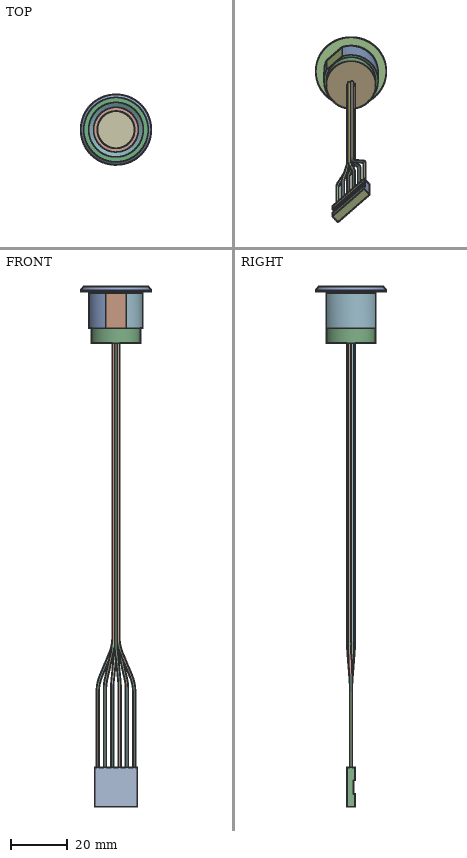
import cadquery as cq
import math

total_height = 184.0

bezel_diameter = 25.0
bezel_top_diameter = 22.8
bezel_chamfer_height = 1.3
flange_bottom = 1.8
neck_bottom = 2.4
dish_top_diameter = 19.3
dish_floor_diameter = 15.8
dish_depth = 1.0

cap_diameter = 13.0
cap_recess_diameter = 13.2
cap_thickness = 1.0

barrel_diameter = 19.1
barrel_flats_width = 17.7
barrel_bottom = 14.7
tail_diameter = 17.5
housing_bottom = 20.0

wire_diameter = 1.0
wire_pitch = 2.5
bundle_radius = 1.01
core_diameter = 1.1
core_bottom = 123.3
fan_top = 127.1
fan_bottom = 140.4
bend_radius = 13.8
bundle_angles = [150, 210, 90, 270, 30, 330]

connector_width = 15.0
connector_thickness = 3.0
connector_height = 14.0
groove_height = 4.8
groove_depth = 0.5
groove_center_height = 7.0
connector_top = total_height - connector_height


def disc(diameter, top, bottom):
    """Cylinder on the Z axis between two depths."""
    return cq.Workplane("XY").workplane(offset=-bottom).circle(diameter / 2).extrude(bottom - top)


def cone(top_diameter, bottom_diameter, height):
    """Truncated cone on the Z axis, from depth 0 down to the given height."""
    return (
        cq.Workplane("XY")
        .circle(top_diameter / 2)
        .workplane(offset=-height)
        .circle(bottom_diameter / 2)
        .loft(ruled=True)
    )


def flatted_disc(top, bottom):
    """Slice of the barrel outline: a cylinder cut by two flats parallel to XZ."""
    height = bottom - top
    slab = cq.Workplane("XY").box(barrel_diameter, barrel_flats_width, height)
    slab = slab.translate((0, 0, -(top + bottom) / 2))
    return disc(barrel_diameter, top, bottom).intersect(slab)


def make_bezel():
    chamfered_edge = cone(bezel_top_diameter, bezel_diameter, bezel_chamfer_height)
    rim = disc(bezel_diameter, bezel_chamfer_height, flange_bottom)
    neck = flatted_disc(flange_bottom, neck_bottom)
    dish = cone(dish_top_diameter, dish_floor_diameter, dish_depth)
    cap_recess = disc(cap_recess_diameter, dish_depth, dish_depth + cap_thickness)
    return chamfered_edge.union(rim).union(neck).cut(dish).cut(cap_recess)


def make_cap():
    return disc(cap_diameter, dish_depth, dish_depth + cap_thickness)


def make_housing():
    barrel = flatted_disc(neck_bottom, barrel_bottom)
    tail = disc(tail_diameter, barrel_bottom, housing_bottom)
    return barrel.union(tail)


def wire_path(start_x, start_y, end_x):
    """Centreline from the housing to the connector: straight, bend, slope, bend back, straight."""
    upper_corner = cq.Vector(start_x, start_y, -fan_top)
    lower_corner = cq.Vector(end_x, 0, -fan_bottom)
    down = cq.Vector(0, 0, -1)
    slope = (lower_corner - upper_corner).normalized()
    sideways = (slope - down * slope.dot(down)).normalized()

    bend_angle = slope.getAngle(down)
    tangent_length = bend_radius * math.tan(bend_angle / 2)
    to_middle = (
        down * (bend_radius * math.sin(bend_angle / 2))
        + sideways * (bend_radius * (1 - math.cos(bend_angle / 2)))
    )

    upper_bend_start = upper_corner - down * tangent_length
    upper_bend_end = upper_corner + slope * tangent_length
    lower_bend_start = lower_corner - slope * tangent_length
    lower_bend_end = lower_corner + down * tangent_length
    return cq.Wire.assembleEdges([
        cq.Edge.makeLine(cq.Vector(start_x, start_y, -housing_bottom), upper_bend_start),
        cq.Edge.makeThreePointArc(upper_bend_start, upper_bend_start + to_middle, upper_bend_end),
        cq.Edge.makeLine(upper_bend_end, lower_bend_start),
        cq.Edge.makeThreePointArc(lower_bend_start, lower_bend_end - to_middle, lower_bend_end),
        cq.Edge.makeLine(lower_bend_end, cq.Vector(end_x, 0, -connector_top)),
    ])


def make_harness():
    harness = disc(core_diameter, housing_bottom, core_bottom)
    middle_index = (len(bundle_angles) - 1) / 2
    for index, angle in enumerate(bundle_angles):
        start_x = bundle_radius * math.cos(math.radians(angle))
        start_y = bundle_radius * math.sin(math.radians(angle))
        end_x = (index - middle_index) * wire_pitch
        section = cq.Workplane("XY", origin=(start_x, start_y, -housing_bottom)).circle(wire_diameter / 2)
        wire = section.sweep(cq.Workplane("XY").add(wire_path(start_x, start_y, end_x)))
        harness = harness.union(wire)
    return harness


def make_connector():
    block = cq.Workplane("XY").box(connector_width, connector_thickness, connector_height)
    block = block.translate((0, 0, -connector_top - connector_height / 2))
    groove = cq.Workplane("XY").box(connector_width, groove_depth, groove_height)
    groove_y = (connector_thickness - groove_depth) / 2
    groove = groove.translate((0, groove_y, -total_height + groove_center_height))
    return block.cut(groove)


bezel = make_bezel()
cap = make_cap()
housing = make_housing()
harness = make_harness()
connector = make_connector()

result = cq.Compound.makeCompound(
    [bezel.val(), cap.val(), housing.val(), *harness.vals(), connector.val()]
)